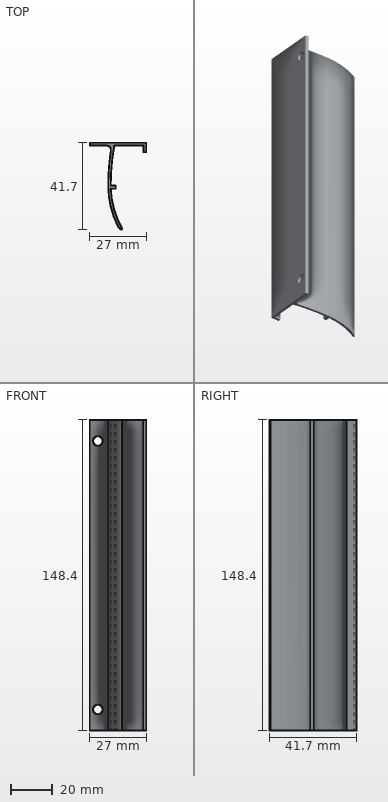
import cadquery as cq
import math

length = 148.4
flange_width = 27.0
flange_thickness = 1.5
corner_radius = 0.7

lip_thickness = 1.3
lip_depth = 4.7

blade_thickness = 1.3
blade_outer_x = 8.8
blade_bend_y = -20.5
root_radius = 109.8
tip_radius = 43.0

curl_start_y = -39.8
curl_radius = 4.5
blade_tip_x = 15.3
blade_tip_y = -41.7
inner_face_end_y = -41.0

root_fillet = 2.1

rib_end_x = 12.5
rib_thickness = 1.6
rib_top_y = -20.5
rib_corner_radius = 0.5

hole_diameter = 4.5
hole_x = 3.9
hole_end_distance = 10.1


def blade_point(outer_radius, offset, y):
    """Point at height y on a blade face that lies offset inside the outer face."""
    radius = outer_radius - offset
    center_x = blade_outer_x + outer_radius
    return center_x - math.sqrt(radius**2 - (y - blade_bend_y) ** 2), y


def make_flange():
    plate = cq.Workplane("XY").box(flange_width, flange_thickness, length, centered=False)
    plate = plate.translate((0, -flange_thickness, 0))
    lip = cq.Workplane("XY").box(lip_thickness, lip_depth, length, centered=False)
    lip = lip.translate((flange_width - lip_thickness, -lip_depth, 0))
    return plate.union(lip).edges("|Z and >Y").fillet(corner_radius)


def make_blade():
    root_y = -flange_thickness / 2
    root_mid_y = (root_y + blade_bend_y) / 2
    tip_mid_y = (curl_start_y + blade_bend_y) / 2
    return (
        cq.Workplane("XY")
        .moveTo(*blade_point(root_radius, 0, root_y))
        .threePointArc(blade_point(root_radius, 0, root_mid_y), (blade_outer_x, blade_bend_y))
        .threePointArc(blade_point(tip_radius, 0, tip_mid_y), blade_point(tip_radius, 0, curl_start_y))
        .radiusArc((blade_tip_x, blade_tip_y), -curl_radius)
        .lineTo(*blade_point(tip_radius, blade_thickness, inner_face_end_y))
        .threePointArc(
            blade_point(tip_radius, blade_thickness, tip_mid_y),
            (blade_outer_x + blade_thickness, blade_bend_y),
        )
        .threePointArc(
            blade_point(root_radius, blade_thickness, root_mid_y),
            blade_point(root_radius, blade_thickness, root_y),
        )
        .close()
        .extrude(length)
    )


def make_rib():
    start_x = blade_outer_x + blade_thickness / 2
    rib = cq.Workplane("XY").box(rib_end_x - start_x, rib_thickness, length, centered=False)
    rib = rib.translate((start_x, rib_top_y - rib_thickness, 0))
    return rib.edges("|Z and >X and >Y").fillet(rib_corner_radius)


def fillet_root(body):
    """Round the corner between the flange and the outer face of the blade."""
    corner_x, corner_y = blade_point(root_radius, 0, -flange_thickness)
    reach = blade_thickness / 2
    corner = cq.selectors.BoxSelector(
        (corner_x - reach, corner_y - reach, 0),
        (corner_x + reach, corner_y + reach, length),
    )
    return body.edges("|Z").edges(corner).fillet(root_fillet)


def make_holes():
    heights = (hole_end_distance, length - hole_end_distance)
    return (
        cq.Workplane("XZ")
        .pushPoints([(hole_x, height) for height in heights])
        .circle(hole_diameter / 2)
        .extrude(flange_thickness)
    )


body = make_flange().union(make_blade()).union(make_rib())
result = fillet_root(body).cut(make_holes())